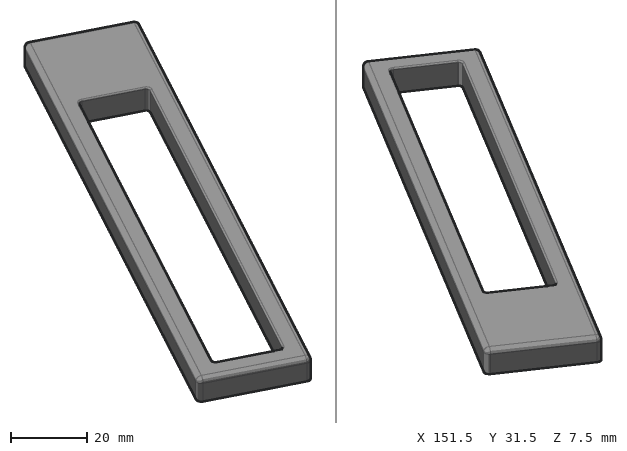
import cadquery as cq

length = 151.5
width = 31.5
thickness = 7.5
outer_radius = 1.5

solid_end = 28.8
rail = 6.0
window_corner_radius = 1.0
window_rim_radius = 0.5

window_length = length - solid_end - rail
window_width = width - 2 * rail
window_center_x = (solid_end - rail) / 2


def rounded_block(block_length, block_width, corner_radius):
    """Upright block with rounded vertical corners."""
    block = cq.Workplane("XY").box(block_length, block_width, thickness, centered=(True, True, False))
    return block.edges("|Z").fillet(corner_radius)


plate = rounded_block(length, width, outer_radius).faces(">Z").edges().fillet(outer_radius)

window = rounded_block(window_length, window_width, window_corner_radius).translate((window_center_x, 0, 0))
framed_plate = plate.cut(window)
result = framed_plate.faces(">Z").wires(cq.selectors.LengthNthSelector(0)).edges().fillet(window_rim_radius)